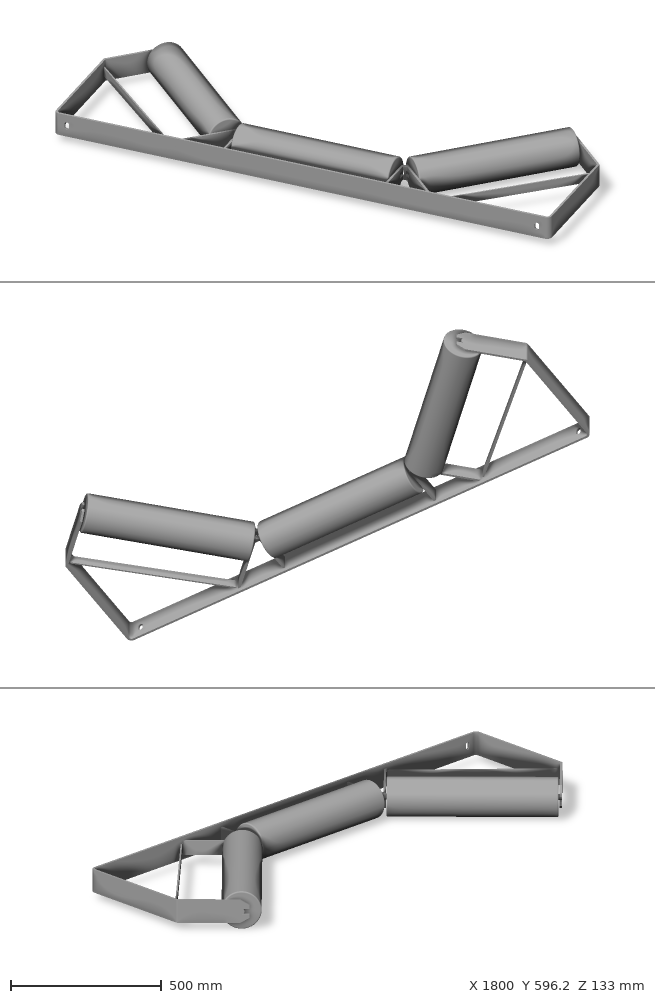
import cadquery as cq
import math


ROLLER_DIAMETER = 133.0
ROLLER_LENGTH = 570.0
ROLLER_EDGE_RADIUS = 4.5
SHAFT_DIAMETER = 20.0
CENTRE_ROLLER_Y = 126.0
SIDE_ROLLER_INNER_X = 337.0
SIDE_ROLLER_INNER_Y = 148.0
TROUGH_ANGLE = 45.0

CENTRE_GAP = 4.5
SIDE_INNER_GAP = 2.0
SIDE_OUTER_GAP = 4.0

FRAME_LENGTH = 1800.0
FRAME_HEIGHT = 81.0
BAR_THICKNESS = 8.0
CORNER_RADIUS = 18.0
ARM_BEND_RADIUS = 9.0
ARM_LENGTH = 241.0
TIP_CHAMFER_LENGTH = 30.0
TIP_CHAMFER_HEIGHT = 18.0

MOUNTING_SLOT_WIDTH = 16.0
MOUNTING_SLOT_HEIGHT = 27.0
MOUNTING_SLOT_X = 853.0

BRACKET_HEIGHT = 50.0
BRACKET_TOP_Y = 164.0
BRACKET_TIP_Y = 175.0

STRUT_HEIGHT = 32.0
STRUT_THICKNESS = 5.0
STRUT_TOP_Y = 398.0
STRUT_FOOT_X = 479.0

COS_TROUGH = math.cos(math.radians(TROUGH_ANGLE))
SIN_TROUGH = math.sin(math.radians(TROUGH_ANGLE))
HALF_LENGTH = FRAME_LENGTH / 2
INNER_WALL_X = HALF_LENGTH - BAR_THICKNESS
CENTRE_PLATE_X = ROLLER_LENGTH / 2 + CENTRE_GAP
SLOT_CUT_LENGTH = ROLLER_DIAMETER / 2


def along_axis(point, distance):
    """Move a point outwards along the axis of the left roller."""
    return point[0] - distance * COS_TROUGH, point[1] + distance * SIN_TROUGH


def along_plate(point, distance):
    """Move a point upwards along the plates at the ends of the left roller."""
    return point[0] + distance * SIN_TROUGH, point[1] + distance * COS_TROUGH


def at_height(point, y):
    """Slide a point along the plates at the ends of the left roller until it reaches height y."""
    return along_plate(point, (y - point[1]) / COS_TROUGH)


SIDE_INNER_END = (-SIDE_ROLLER_INNER_X, SIDE_ROLLER_INNER_Y)
SIDE_OUTER_END = along_axis(SIDE_INNER_END, ROLLER_LENGTH)


def mirrored(body):
    return body.mirror("YZ")


def flat_bar(points, height):
    """Extrude an XY outline to both sides of Z = 0."""
    return cq.Workplane("XY").polyline(points).close().extrude(height / 2, both=True)


def place(body, point, angle):
    """Turn a body about Z and move its origin to an XY point."""
    return body.rotate((0, 0, 0), (0, 0, 1), angle).translate((*point, 0))



def roller(start_stub, end_stub):
    """Roller along +X from the origin, with a shaft stub at each end."""
    shell = cq.Workplane("YZ").circle(ROLLER_DIAMETER / 2).extrude(ROLLER_LENGTH)
    shell = shell.edges("%CIRCLE").fillet(ROLLER_EDGE_RADIUS)
    shaft_length = start_stub + ROLLER_LENGTH + end_stub
    shaft = cq.Workplane("YZ", origin=(-start_stub, 0, 0)).circle(SHAFT_DIAMETER / 2).extrude(shaft_length)
    return shell.union(shaft)


def centre_roller():
    stub = CENTRE_GAP + BAR_THICKNESS
    return place(roller(stub, stub), (-ROLLER_LENGTH / 2, CENTRE_ROLLER_Y), 0)


def left_roller():
    body = roller(SIDE_INNER_GAP + BAR_THICKNESS, SIDE_OUTER_GAP + BAR_THICKNESS)
    return place(body, SIDE_INNER_END, 180 - TROUGH_ANGLE)



def shaft_slot(shaft_point, angle):
    """Slot through a bar: a round seat for the shaft, open along the given direction in XY."""
    depth = 2 * BAR_THICKNESS
    seat = cq.Workplane("XZ").circle(SHAFT_DIAMETER / 2).extrude(depth / 2, both=True)
    mouth = cq.Workplane("XY").box(SLOT_CUT_LENGTH, depth, SHAFT_DIAMETER, centered=(False, True, True))
    return place(seat.union(mouth), shaft_point, angle)


def tip_chamfers(tip):
    """Wedges that take the two corners off the tip of the left arm."""
    top = FRAME_HEIGHT / 2
    wedge = (
        cq.Workplane("XZ")
        .polyline([(0, top), (-TIP_CHAMFER_LENGTH, top), (0, top - TIP_CHAMFER_HEIGHT)])
        .close()
        .extrude(2 * BAR_THICKNESS, both=True)
    )
    return place(wedge.union(wedge.mirror("XY")), tip, TROUGH_ANGLE)



def round_bends(body, x, y, radius):
    """Round the upright edges at (x, y) and (-x, y)."""
    for edge_x in (-x, x):
        body = body.edges(cq.selectors.NearestToPointSelector((edge_x, y, 0))).fillet(radius)
    return body


def frame():
    outer_face = along_axis(SIDE_OUTER_END, SIDE_OUTER_GAP + BAR_THICKNESS)
    bend_y = outer_face[1] - (outer_face[0] + HALF_LENGTH) * COS_TROUGH / SIN_TROUGH
    inner_bend_y = bend_y - BAR_THICKNESS * math.tan(math.radians(TROUGH_ANGLE / 2))
    tip = along_plate((-HALF_LENGTH, bend_y), ARM_LENGTH)

    left = [
        (-INNER_WALL_X, BAR_THICKNESS),
        (-INNER_WALL_X, inner_bend_y),
        along_axis(tip, -BAR_THICKNESS),
        tip,
        (-HALF_LENGTH, bend_y),
        (-HALF_LENGTH, 0),
    ]
    right = [(-x, y) for x, y in reversed(left)]
    body = flat_bar(left + right, FRAME_HEIGHT)

    body = round_bends(body, HALF_LENGTH, 0, CORNER_RADIUS)
    body = round_bends(body, INNER_WALL_X, BAR_THICKNESS, CORNER_RADIUS - BAR_THICKNESS)
    body = round_bends(body, HALF_LENGTH, bend_y, ARM_BEND_RADIUS)
    body = round_bends(body, INNER_WALL_X, inner_bend_y, ARM_BEND_RADIUS - BAR_THICKNESS)

    shaft_point = along_axis(SIDE_OUTER_END, SIDE_OUTER_GAP + BAR_THICKNESS / 2)
    for cutter in (tip_chamfers(tip), shaft_slot(shaft_point, TROUGH_ANGLE)):
        body = body.cut(cutter).cut(mirrored(cutter))

    mounting_slots = (
        cq.Workplane("XZ")
        .pushPoints([(-MOUNTING_SLOT_X, 0), (MOUNTING_SLOT_X, 0)])
        .slot2D(MOUNTING_SLOT_HEIGHT, MOUNTING_SLOT_WIDTH, 90)
        .extrude(-BAR_THICKNESS)
    )
    return body.cut(mounting_slots)



def left_bracket():
    """Inverted V: a sloping leg for the left roller and an upright leg for the centre roller."""
    outer_face = along_axis(SIDE_INNER_END, -SIDE_INNER_GAP)
    inner_face = along_axis(outer_face, -BAR_THICKNESS)
    tip = at_height(outer_face, BRACKET_TIP_Y)
    tip_end = along_axis(tip, (BRACKET_TOP_Y - BRACKET_TIP_Y) / SIN_TROUGH)
    upright_x = -CENTRE_PLATE_X
    upright_inner_x = upright_x - BAR_THICKNESS
    crotch_y = BRACKET_TOP_Y - BAR_THICKNESS
    outline = [
        at_height(outer_face, BAR_THICKNESS),
        tip,
        tip_end,
        (upright_x, BRACKET_TOP_Y),
        (upright_x, BAR_THICKNESS),
        (upright_inner_x, BAR_THICKNESS),
        (upright_inner_x, crotch_y),
        at_height(inner_face, crotch_y),
        at_height(inner_face, BAR_THICKNESS),
    ]
    side_shaft = along_axis(SIDE_INNER_END, -SIDE_INNER_GAP - BAR_THICKNESS / 2)
    centre_shaft = (upright_x - BAR_THICKNESS / 2, CENTRE_ROLLER_Y)
    body = flat_bar(outline, BRACKET_HEIGHT)
    return body.cut(shaft_slot(side_shaft, TROUGH_ANGLE)).cut(shaft_slot(centre_shaft, 90))



def left_strut():
    """Sloping bar between the upright wall and the base of the frame, cut flush with both."""
    run = INNER_WALL_X - STRUT_FOOT_X
    rise = STRUT_TOP_Y - BAR_THICKNESS
    length = math.hypot(run, rise)
    cut_on_base = STRUT_THICKNESS * length / rise
    cut_on_wall = STRUT_THICKNESS * length / run
    outline = [
        (-INNER_WALL_X, STRUT_TOP_Y),
        (-STRUT_FOOT_X, BAR_THICKNESS),
        (-STRUT_FOOT_X - cut_on_base, BAR_THICKNESS),
        (-INNER_WALL_X, STRUT_TOP_Y - cut_on_wall),
    ]
    return flat_bar(outline, STRUT_HEIGHT)



bodies = [frame(), centre_roller()]
for left_body in (left_roller(), left_bracket(), left_strut()):
    bodies += [left_body, mirrored(left_body)]

result = cq.Compound.makeCompound([body.val() for body in bodies])